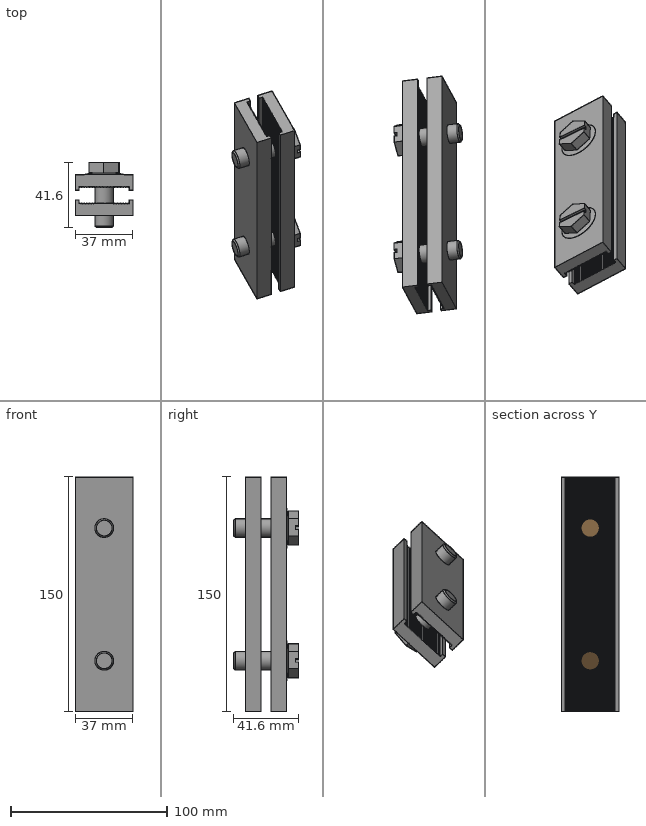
import cadquery as cq
import math

PLATE_LENGTH = 150.0
PLATE_WIDTH = 37.0
PLATE_THICKNESS = 10.0
PLATE_GAP = 6.2

TOOTH_COUNT = 32
LIP_WIDTH = 2.5
CHANNEL_DEPTH = 2.4
TOOTH_HEIGHT = 0.5
CHANNEL_WIDTH = PLATE_WIDTH - 2 * LIP_WIDTH
TOOTH_PITCH = CHANNEL_WIDTH / TOOTH_COUNT

SHANK_DIAMETER = 12.0
SHANK_LENGTH = 35.0
TIP_CHAMFER = 0.98
HEAD_ACROSS_FLATS = 19.0
HEAD_HEIGHT = 6.6
HEAD_TURN = 3.0
SLOT_WIDTH = 2.2
SLOT_DEPTH = 2.0
BOLT_SPACING = 84.9
HEAD_ACROSS_CORNERS = HEAD_ACROSS_FLATS / math.cos(math.radians(30))

WASHER_HEIGHT = 1.2
WASHER_RIM_HEIGHT = 0.2
WASHER_OUTER_RADIUS = 12.9
WASHER_TOP_RADIUS = 6.6

PLATE_OUTER_Y = PLATE_GAP / 2 + PLATE_THICKNESS
HEAD_SEAT_Y = PLATE_OUTER_Y + WASHER_HEIGHT
BOLT_HEIGHTS = (-BOLT_SPACING / 2, BOLT_SPACING / 2)


def facing_back(height_y):
    """Workplane at the given Y whose normal is +Y, with local y along +Z."""
    return cq.Workplane(cq.Plane(origin=(0, height_y, 0), xDir=(-1, 0, 0), normal=(0, 1, 0)))


def plate_section():
    """Cross-section of the back plate in XY, with its toothed channel toward -Y."""
    lip_y = PLATE_GAP / 2
    root_y = lip_y + CHANNEL_DEPTH
    tip_y = root_y - TOOTH_HEIGHT
    half_width = PLATE_WIDTH / 2
    channel_start = -CHANNEL_WIDTH / 2

    teeth = [(channel_start, root_y)]
    for i in range(TOOTH_COUNT):
        teeth.append((channel_start + (i + 0.5) * TOOTH_PITCH, tip_y))
        teeth.append((channel_start + (i + 1) * TOOTH_PITCH, root_y))

    return [
        (-half_width, PLATE_OUTER_Y),
        (-half_width, lip_y),
        (channel_start, lip_y),
        *teeth,
        (-channel_start, lip_y),
        (half_width, lip_y),
        (half_width, PLATE_OUTER_Y),
    ]


def make_back_plate():
    """Toothed plate with one through hole for each bolt."""
    plate = (
        cq.Workplane("XY", origin=(0, 0, -PLATE_LENGTH / 2))
        .polyline(plate_section())
        .close()
        .extrude(PLATE_LENGTH)
    )
    holes = (
        facing_back(0)
        .pushPoints([(0, z) for z in BOLT_HEIGHTS])
        .circle(SHANK_DIAMETER / 2)
        .extrude(PLATE_OUTER_Y)
    )
    return plate.cut(holes)


def make_bolt(z):
    """Hexagon bolt with a screwdriver slot, its tip pointing toward -Y."""
    shank = (
        facing_back(HEAD_SEAT_Y)
        .circle(SHANK_DIAMETER / 2)
        .extrude(-SHANK_LENGTH)
        .faces("<Y")
        .chamfer(TIP_CHAMFER)
    )
    head = (
        facing_back(HEAD_SEAT_Y)
        .transformed(rotate=(0, 0, 90))
        .polygon(6, HEAD_ACROSS_CORNERS)
        .extrude(HEAD_HEIGHT)
    )
    slot = (
        facing_back(HEAD_SEAT_Y + HEAD_HEIGHT)
        .rect(HEAD_ACROSS_CORNERS, SLOT_WIDTH)
        .extrude(-SLOT_DEPTH)
    )
    turned_head = head.cut(slot).rotate((0, 0, 0), (0, 1, 0), -HEAD_TURN)
    return shank.union(turned_head).translate((0, 0, z))


def make_washer(z):
    """Flat-bottomed conical washer that fits closely around the bolt shank."""
    bore_radius = SHANK_DIAMETER / 2
    section = [
        (bore_radius, PLATE_OUTER_Y),
        (WASHER_OUTER_RADIUS, PLATE_OUTER_Y),
        (WASHER_OUTER_RADIUS, PLATE_OUTER_Y + WASHER_RIM_HEIGHT),
        (WASHER_TOP_RADIUS, HEAD_SEAT_Y),
        (bore_radius, HEAD_SEAT_Y),
    ]
    washer = cq.Workplane("XY").polyline(section).close().revolve(360, (0, 0, 0), (0, 1, 0))
    return washer.translate((0, 0, z))


back_plate = make_back_plate()
front_plate = back_plate.mirror("XZ")
bolts = [make_bolt(z) for z in BOLT_HEIGHTS]
washers = [make_washer(z) for z in BOLT_HEIGHTS]

result = cq.Compound.makeCompound([
    back_plate.val(),
    front_plate.val(),
    *[bolt.val() for bolt in bolts],
    *[washer.val() for washer in washers],
])